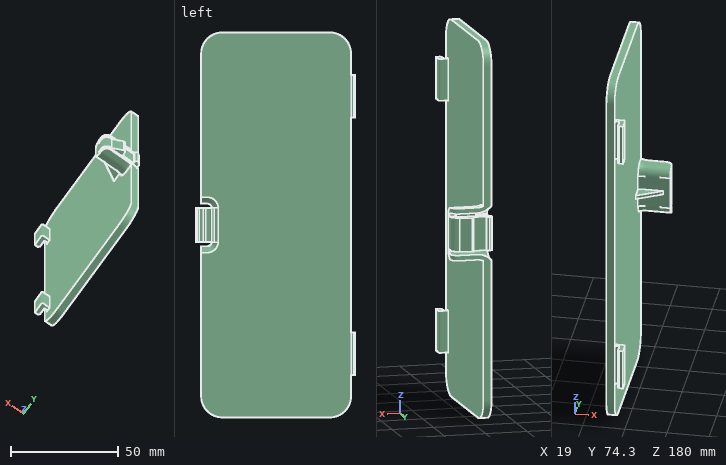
import cadquery as cq
import math

plate_thickness = 4.0
plate_width = 70.2
plate_height = 180.0
plate_corner_radius = 10.0
edge_y = plate_width / 2

pocket_wall = 2.5
pocket_half_height = 9.9
pocket_depth = 5.0
pocket_corner_radius = 2.2
mouth_flare = 3.0
flare_end_x = 7.0
pocket_end_x = 19.0
wall_end_drop = 3.0
wall_end_run = 3.8
wall_end_bulge = 0.7
mouth_radius = (flare_end_x ** 2 + mouth_flare ** 2) / (2 * mouth_flare)

latch_length_z = 16.0
arm_thickness = 2.3
fold_thickness = 2.3
fold_inner_radius = 1.0
root_setback = 0.7
root_radius = 1.3
tooth_start_x = 8.6
tooth_peak_x = 9.2
tooth_flat = 0.9
tooth_height = 2.3
lip_length = 2.7
lip_peak_x = 1.5
lip_front_height = 0.7
lip_peak_height = 1.8
lip_back_height = 1.0

rib_thickness = 1.8
rib_end_x = 15.8
rib_foot_depth = 14.2

hook_length_z = 20.0
hook_center_z = 60.1
hook_reach_x = 4.3
hook_thickness = 1.6
leg_thickness = 2.5
hook_top_inset = 4.1
hook_overhang = 1.8
hook_edge_break = 0.7
hook_root_radius = 0.7


def extrude_xy(outline, length_z, center_z=0.0):
    """Extrude a closed XY outline symmetrically about center_z."""
    return outline.close().extrude(length_z / 2, both=True).translate((0, 0, center_z))


def u_path(offset):
    """U line in YZ, open towards the latch edge, grown by offset from the pocket."""
    half_height = pocket_half_height + offset
    radius = pocket_corner_radius + offset
    floor_y = edge_y - pocket_depth - offset
    diagonal = radius * (1 - math.sqrt(0.5))
    return (
        cq.Workplane("YZ")
        .moveTo(edge_y, -half_height)
        .lineTo(floor_y + radius, -half_height)
        .threePointArc(
            (floor_y + diagonal, -half_height + diagonal),
            (floor_y, -half_height + radius),
        )
        .lineTo(floor_y, half_height - radius)
        .threePointArc(
            (floor_y + diagonal, half_height - diagonal),
            (floor_y + radius, half_height),
        )
        .lineTo(edge_y, half_height)
    )


def flare_at(x, radius):
    """Outward shift of a bell arc at position x, zero at flare_end_x."""
    return radius - math.sqrt(radius ** 2 - (flare_end_x - x) ** 2)


def make_pocket_wall():
    """Wall section swept round the U; its inner and outer bell arcs are concentric."""
    inner_z = -pocket_half_height
    outer_z = inner_z - pocket_wall
    outer_radius = mouth_radius - pocket_wall
    inner_middle_x = flare_end_x / 2
    outer_middle_x = (plate_thickness + flare_end_x) / 2
    section = (
        cq.Workplane("XZ", origin=(0, edge_y, 0))
        .moveTo(0, inner_z - mouth_flare)
        .threePointArc(
            (inner_middle_x, inner_z - flare_at(inner_middle_x, mouth_radius)),
            (flare_end_x, inner_z),
        )
        .lineTo(pocket_end_x, inner_z)
        .lineTo(pocket_end_x, outer_z)
        .lineTo(flare_end_x, outer_z)
        .threePointArc(
            (outer_middle_x, outer_z - flare_at(outer_middle_x, outer_radius)),
            (plate_thickness, outer_z - flare_at(plate_thickness, outer_radius)),
        )
        .close()
    )
    return section.sweep(u_path(0))


def add_wall_end_arc(outline):
    """Draw the rounded far end from the floor side up to the latch edge."""
    middle_x = pocket_end_x - wall_end_run / 2 + wall_end_bulge
    middle_y = edge_y - wall_end_drop / 2 + wall_end_bulge
    return outline.threePointArc((middle_x, middle_y), (pocket_end_x - wall_end_run, edge_y))


def make_plate():
    plate = cq.Workplane("YZ").rect(plate_width, plate_height).extrude(plate_thickness)
    return plate.edges("|X").fillet(plate_corner_radius)


def make_wall_end_cutter():
    outline = cq.Workplane("XY").moveTo(pocket_end_x, edge_y - wall_end_drop)
    outline = add_wall_end_arc(outline).lineTo(pocket_end_x, edge_y)
    return extrude_xy(outline, 2 * (pocket_half_height + pocket_wall))


def make_latch():
    """Arm with lip and tooth, folded at the far end down to the pocket floor."""
    fold_x = pocket_end_x - fold_thickness
    floor_y = edge_y - pocket_depth
    outline = (
        cq.Workplane("XY")
        .moveTo(pocket_end_x, floor_y - pocket_wall)
        .lineTo(pocket_end_x, edge_y - wall_end_drop)
    )
    outline = (
        add_wall_end_arc(outline)
        .lineTo(tooth_peak_x + tooth_flat, edge_y + tooth_height)
        .lineTo(tooth_peak_x, edge_y + tooth_height)
        .lineTo(tooth_start_x, edge_y)
        .lineTo(lip_length, edge_y)
        .lineTo(lip_length, edge_y + lip_back_height)
        .lineTo(lip_peak_x, edge_y + lip_peak_height)
        .lineTo(0, edge_y + lip_front_height)
        .lineTo(0, edge_y - arm_thickness / 2)
        .lineTo(arm_thickness / 2, edge_y - arm_thickness)
        .lineTo(fold_x, edge_y - arm_thickness)
        .lineTo(fold_x, floor_y)
        .lineTo(fold_x - fold_thickness, floor_y)
        .lineTo(fold_x - fold_thickness, floor_y - pocket_wall)
    )
    latch = extrude_xy(outline, latch_length_z)
    for corner_y in (edge_y - arm_thickness, floor_y):
        corner = cq.selectors.NearestToPointSelector((fold_x, corner_y, 0))
        latch = latch.edges("|Z").edges(corner).fillet(fold_inner_radius)
    return latch


def make_latch_root():
    """Rounded lip filling the flared mouth in front of the pocket floor, as wide as the latch."""
    floor_y = edge_y - pocket_depth
    outline = (
        cq.Workplane("XY")
        .moveTo(flare_end_x, floor_y)
        .lineTo(root_setback + root_radius, floor_y)
        .radiusArc((root_setback, floor_y - root_radius), -root_radius)
        .lineTo(0, floor_y - mouth_flare)
        .lineTo(plate_thickness, floor_y - mouth_flare)
        .lineTo(flare_end_x, floor_y - pocket_wall)
    )
    return extrude_xy(outline, latch_length_z)


def make_rib():
    floor_y = edge_y - pocket_depth - pocket_wall / 2
    outer_floor_y = edge_y - pocket_depth - pocket_wall
    outline = (
        cq.Workplane("XY")
        .moveTo(plate_thickness, edge_y - rib_foot_depth)
        .lineTo(rib_end_x, outer_floor_y)
        .lineTo(rib_end_x, floor_y)
        .lineTo(flare_end_x, floor_y)
        .lineTo(plate_thickness, outer_floor_y)
    )
    return extrude_xy(outline, rib_thickness)


def make_hook(center_z):
    """L-shaped hook reaching past the plate edge."""
    tip_x = plate_thickness + hook_reach_x
    leg_x = tip_x - leg_thickness
    top_y = -edge_y + hook_top_inset
    tip_y = -edge_y - hook_overhang
    under_y = top_y - hook_thickness
    outline = (
        cq.Workplane("XY")
        .moveTo(plate_thickness, top_y)
        .lineTo(tip_x - hook_edge_break, top_y)
        .radiusArc((tip_x, top_y - hook_edge_break), hook_edge_break)
        .lineTo(tip_x, tip_y)
        .lineTo(leg_x + hook_edge_break, tip_y)
        .lineTo(leg_x, tip_y + hook_edge_break)
        .lineTo(leg_x, under_y)
        .lineTo(plate_thickness + hook_root_radius, under_y)
        .radiusArc((plate_thickness, under_y - hook_root_radius), -hook_root_radius)
    )
    return extrude_xy(outline, hook_length_z, center_z)


notch = u_path(mouth_flare).close().extrude(plate_thickness)

result = make_plate().cut(notch).union(make_pocket_wall()).cut(make_wall_end_cutter())
result = result.union(make_latch()).union(make_latch_root()).union(make_rib())
for side in (-1, 1):
    result = result.union(make_hook(side * hook_center_z))